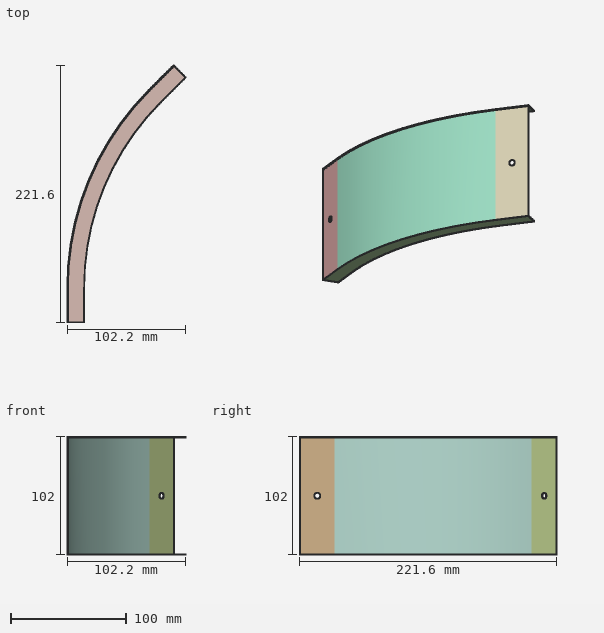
import cadquery as cq
import math

SHEET_THICKNESS = 0.8
CHANNEL_HEIGHT = 102.0
FLANGE_DEPTH = 14.8
INNER_BEND_RADIUS = 240.0
OUTER_BEND_RADIUS = INNER_BEND_RADIUS + SHEET_THICKNESS
BEND_ANGLE = 45.0
STRAIGHT_LENGTH = 30.05
HOLE_DIAMETER = 5.0
HOLE_FROM_END = 15.0
DRILL_OVERRUN = SHEET_THICKNESS

BEND_CENTRE_X = OUTER_BEND_RADIUS


def point_on_bend(radius, angle):
    """Point at a radius from the bend centre, a given number of degrees past the start of the bend."""
    turn = math.radians(angle)
    return (BEND_CENTRE_X - radius * math.cos(turn), radius * math.sin(turn))


def point_on_end_straight(radius, distance):
    """Point on the angled straight, a given distance beyond the end of the bend."""
    x, y = point_on_bend(radius, BEND_ANGLE)
    turn = math.radians(BEND_ANGLE)
    return (x + distance * math.sin(turn), y + distance * math.cos(turn))


def curved_strip(near_depth, far_depth, bottom, top):
    """Straight-bend-straight strip between two depths behind the web's outer face."""
    outer = OUTER_BEND_RADIUS - near_depth
    inner = OUTER_BEND_RADIUS - far_depth
    return (
        cq.Workplane("XY", origin=(0, 0, bottom))
        .moveTo(near_depth, -STRAIGHT_LENGTH)
        .lineTo(*point_on_bend(outer, 0))
        .threePointArc(point_on_bend(outer, BEND_ANGLE / 2), point_on_bend(outer, BEND_ANGLE))
        .lineTo(*point_on_end_straight(outer, STRAIGHT_LENGTH))
        .lineTo(*point_on_end_straight(inner, STRAIGHT_LENGTH))
        .lineTo(*point_on_bend(inner, BEND_ANGLE))
        .threePointArc(point_on_bend(inner, BEND_ANGLE / 2), point_on_bend(inner, 0))
        .lineTo(far_depth, -STRAIGHT_LENGTH)
        .close()
        .extrude(top - bottom)
    )


def web_hole(centre, angle):
    """Drill through the web, square to a straight that is turned by the given angle."""
    turn = math.radians(angle)
    inward = cq.Vector(math.cos(turn), -math.sin(turn), 0)
    start = cq.Vector(centre[0], centre[1], CHANNEL_HEIGHT / 2) - inward * DRILL_OVERRUN
    length = SHEET_THICKNESS + 2 * DRILL_OVERRUN
    return cq.Workplane(cq.Solid.makeCylinder(HOLE_DIAMETER / 2, length, start, inward))


block = curved_strip(0, FLANGE_DEPTH, 0, CHANNEL_HEIGHT)
hollow = curved_strip(SHEET_THICKNESS, FLANGE_DEPTH, SHEET_THICKNESS, CHANNEL_HEIGHT - SHEET_THICKNESS)
channel = block.cut(hollow)

first_hole = web_hole((0, -STRAIGHT_LENGTH + HOLE_FROM_END), 0)
end_hole_centre = point_on_end_straight(OUTER_BEND_RADIUS, STRAIGHT_LENGTH - HOLE_FROM_END)
end_hole = web_hole(end_hole_centre, BEND_ANGLE)

result = channel.cut(first_hole).cut(end_hole)